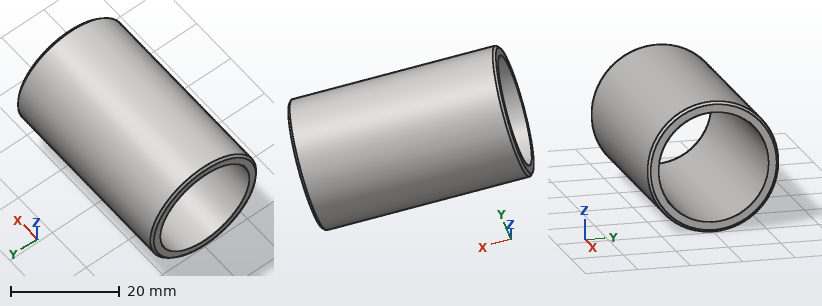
import cadquery as cq

length = 40.0
outer_diameter = 25.0
bore_diameter = 21.0
edge_chamfer = 0.5


def centred_cylinder(diameter):
    """Cylinder of the sleeve's length, along X and centred on the origin."""
    return cq.Workplane("YZ", origin=(-length / 2, 0, 0)).circle(diameter / 2).extrude(length)


body = centred_cylinder(outer_diameter).faces("<X or >X").chamfer(edge_chamfer)
result = body.cut(centred_cylinder(bore_diameter))